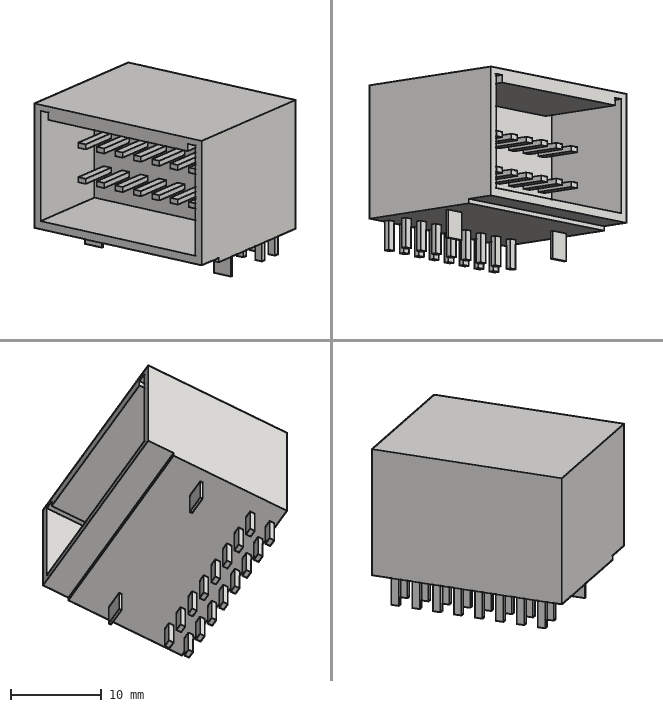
import cadquery as cq

width = 22.7
depth = 17.8
height = 14.95
front_y = -depth / 2
back_y = depth / 2

step_depth = 3.25
step_height = 0.5

cavity_width = 21.0
cavity_floor_z = 1.45
cavity_roof_z = 14.25
cavity_depth = 10.2
lip_width = 18.9
lip_bottom_z = 13.4

contact_count = 8
pitch = 2.5
contact_width = 1.0
contact_thickness = 0.6
contact_row_z = (5.05, 9.05)
contact_tip_recess = 5.4

pin_width = 0.9
pin_thickness = 0.6
pin_length = 3.3
pin_row_from_back = (0.65, 3.15)

tab_width = 2.3
tab_thickness = 0.3
tab_length = 3.1
tab_from_back = 10.1

root = 0.5

contact_xs = [(i - (contact_count - 1) / 2) * pitch for i in range(contact_count)]


def box(size_x, size_y, size_z, x, y, z):
    """Box centred on x, extending towards +Y and +Z from the given y and z."""
    return cq.Workplane("XY").box(size_x, size_y, size_z, centered=(True, False, False)).translate((x, y, z))


def make_housing():
    block = box(width, depth, height, 0, front_y, 0)
    step = box(width, step_depth, step_height, 0, front_y, 0)
    return block.cut(step).cut(make_cavity())


def make_cavity():
    cavity_height = cavity_roof_z - cavity_floor_z
    lip_height = cavity_roof_z - lip_bottom_z
    opening = box(cavity_width, cavity_depth, cavity_height, 0, front_y, cavity_floor_z)
    lip = box(lip_width, cavity_depth, lip_height, 0, front_y, lip_bottom_z)
    return opening.cut(lip)


def make_contact(x, z):
    length = cavity_depth - contact_tip_recess + root
    tip_y = front_y + contact_tip_recess
    return box(contact_width, length, contact_thickness, x, tip_y, z - contact_thickness / 2)


def make_leg(leg_width, thickness, length, x, from_back):
    """Straight flat leg hanging below the underside of the housing."""
    leg_y = back_y - from_back - thickness / 2
    return box(leg_width, thickness, length + root, x, leg_y, -length)


result = make_housing()

for contact_x in contact_xs:
    for row_z in contact_row_z:
        result = result.union(make_contact(contact_x, row_z))
    for row_from_back in pin_row_from_back:
        result = result.union(make_leg(pin_width, pin_thickness, pin_length, contact_x, row_from_back))

for tab_x in (contact_xs[0], contact_xs[-1]):
    result = result.union(make_leg(tab_width, tab_thickness, tab_length, tab_x, tab_from_back))